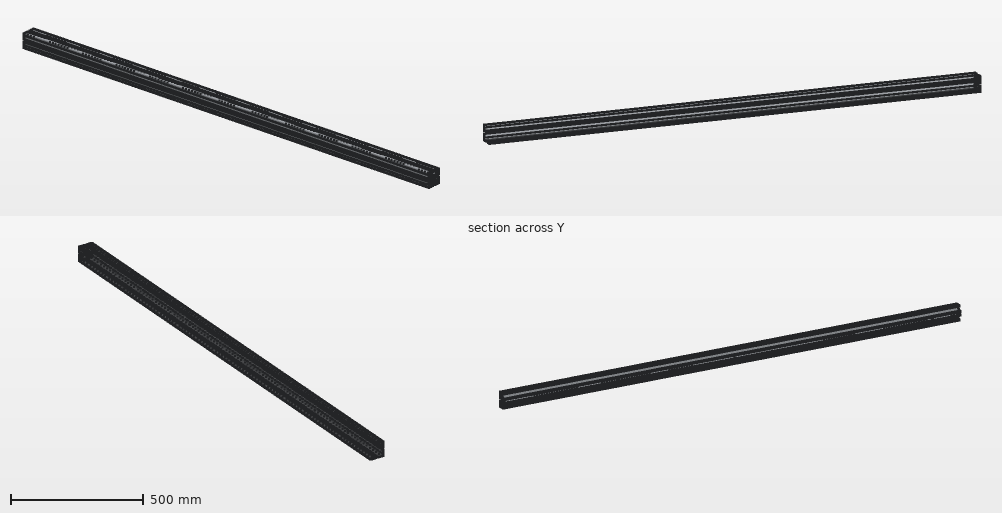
import cadquery as cq
import math

LENGTH = 2000.0
WIDTH = 59.99
SIDES = 4
CORNER_RADIUS = 1.2

SLOT_OPENING = 10.5
LIP_THICKNESS = 4.0
CHANNEL_WIDTH = 40.0
SLOT_DEPTH = 21.5
WEB_THICKNESS = 5.0

BORE_DIAMETER = 10.0


def make_bar():
    """Square bar along X with rounded long edges, centred on the origin."""
    bar = cq.Workplane("YZ").rect(WIDTH, WIDTH).extrude(LENGTH / 2, both=True)
    return bar.edges("|X").fillet(CORNER_RADIUS)


def make_slot():
    """Cutter for the T-slot on the +Z side, flanked below by the two diagonal webs."""
    top = WIDTH / 2
    lip_underside = top - LIP_THICKNESS
    floor = top - SLOT_DEPTH
    half_opening = SLOT_OPENING / 2
    half_channel = CHANNEL_WIDTH / 2
    web_rise = WEB_THICKNESS / 2 * math.sqrt(2)
    half_floor = floor - web_rise
    wall_bottom = half_channel + web_rise

    right_half = [
        (half_opening, top),
        (half_opening, lip_underside),
        (half_channel, lip_underside),
        (half_channel, wall_bottom),
        (half_floor, floor),
    ]
    left_half = [(-y, z) for y, z in reversed(right_half)]
    outline = cq.Workplane("YZ").polyline(right_half + left_half).close()
    return outline.extrude(LENGTH / 2, both=True)


def make_bore():
    """Cutter for the round bore along the axis of the bar."""
    return cq.Workplane("YZ").circle(BORE_DIAMETER / 2).extrude(LENGTH / 2, both=True)


result = make_bar().cut(make_bore())
slot = make_slot()
for side in range(SIDES):
    result = result.cut(slot.rotate((0, 0, 0), (1, 0, 0), side * 360 / SIDES))